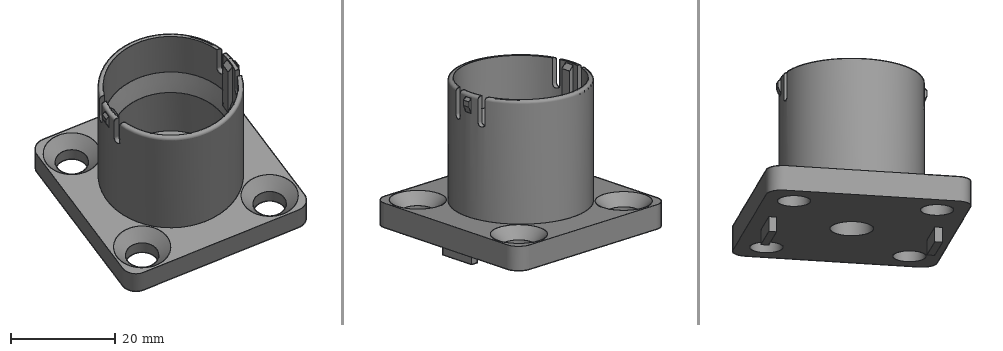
import cadquery as cq

flange_side = 40.0
flange_thickness = 5.0
flange_corner_radius = 3.0

hole_spacing = 28.0
hole_diameter = 6.4
countersink_diameter = 11.0
countersink_angle = 90.0

socket_radius = 14.0
socket_height = 25.0
rim_fillet = 0.6
rim_z = flange_thickness + socket_height

upper_bore_radius = 13.0
upper_bore_depth = 10.0
taper_height = 4.2
lower_bore_radius = 11.5
floor_z = flange_thickness
center_hole_diameter = 8.4

slot_width = 1.5
slot_depth = 6.0
slot_offset = 3.25

latch_width = 1.5
latch_projection = 0.6
latch_peak_depth = 1.3
latch_peak_height = 1.1
latch_bottom_depth = 3.75

rib_width = 2.15
rib_inner_y = 12.0
rib_top_depth = 0.3

tab_width = 8.0
tab_thickness = 1.5
tab_height = 3.0
tab_outer_y = 17.0

wall_overlap = 0.4


def make_flange():
    """Rounded square plate with a countersunk hole near each corner."""
    plate = (
        cq.Workplane("XY")
        .rect(flange_side, flange_side)
        .extrude(flange_thickness)
        .edges("|Z")
        .fillet(flange_corner_radius)
    )
    return (
        plate.faces(">Z")
        .workplane()
        .rect(hole_spacing, hole_spacing, forConstruction=True)
        .vertices()
        .cskHole(hole_diameter, countersink_diameter, countersink_angle)
    )


def make_socket():
    """Solid cylinder with a rounded outer rim."""
    cylinder = (
        cq.Workplane("XY")
        .workplane(offset=flange_thickness)
        .circle(socket_radius)
        .extrude(socket_height)
    )
    return cylinder.faces(">Z").edges().fillet(rim_fillet)


def make_bore():
    """Revolved cavity of the socket, from its rim down to the floor."""
    taper_top_z = rim_z - upper_bore_depth
    taper_bottom_z = taper_top_z - taper_height
    return (
        cq.Workplane("XZ")
        .moveTo(0, floor_z)
        .lineTo(lower_bore_radius, floor_z)
        .lineTo(lower_bore_radius, taper_bottom_z)
        .lineTo(upper_bore_radius, taper_top_z)
        .lineTo(upper_bore_radius, rim_z)
        .lineTo(0, rim_z)
        .close()
        .revolve(360, (0, 0, 0), (0, 1, 0))
    )


def make_slot(x):
    """Round-bottomed slot open at the rim, passing through both walls."""
    half_width = slot_width / 2
    bottom_z = rim_z - slot_depth
    return (
        cq.Workplane("XZ")
        .moveTo(x - half_width, rim_z)
        .lineTo(x - half_width, bottom_z + half_width)
        .threePointArc((x, bottom_z), (x + half_width, bottom_z + half_width))
        .lineTo(x + half_width, rim_z)
        .close()
        .extrude(socket_radius, both=True)
    )


def with_opposite(body):
    """The body together with its mirror image on the opposite Y side."""
    return body.union(body.mirror("XZ"))


def make_latches():
    """Bumps with a 45 degree lead-in on top and a longer slope below."""
    root_y = socket_radius - wall_overlap
    peak_y = socket_radius + latch_projection
    peak_top_z = rim_z - latch_peak_depth
    lead_in_z = peak_top_z + latch_projection
    bottom_z = rim_z - latch_bottom_depth
    latch = (
        cq.Workplane("YZ")
        .moveTo(root_y, bottom_z)
        .lineTo(socket_radius, bottom_z)
        .lineTo(peak_y, peak_top_z - latch_peak_height)
        .lineTo(peak_y, peak_top_z)
        .lineTo(socket_radius, lead_in_z)
        .lineTo(root_y, lead_in_z)
        .close()
        .extrude(latch_width / 2, both=True)
    )
    return with_opposite(latch)


def make_ribs():
    """Upright ribs on the bore wall, ending below in the bore taper."""
    root_y = upper_bore_radius + wall_overlap
    top_z = rim_z - rib_top_depth
    slope_height = upper_bore_radius - rib_inner_y
    bottom_z = rim_z - upper_bore_depth - taper_height
    rib = (
        cq.Workplane("YZ")
        .moveTo(rib_inner_y, bottom_z)
        .lineTo(root_y, bottom_z)
        .lineTo(root_y, top_z)
        .lineTo(upper_bore_radius, top_z)
        .lineTo(rib_inner_y, top_z - slope_height)
        .close()
        .extrude(rib_width / 2, both=True)
    )
    return with_opposite(rib)


def make_tabs():
    """Rectangular tabs hanging below the flange."""
    tab = (
        cq.Workplane("XY")
        .center(0, tab_outer_y - tab_thickness / 2)
        .rect(tab_width, tab_thickness)
        .extrude(-tab_height)
    )
    return with_opposite(tab)


body = make_flange().union(make_socket()).cut(make_bore())
for side in (-1, 1):
    body = body.cut(make_slot(side * slot_offset))
center_hole = cq.Workplane("XY").circle(center_hole_diameter / 2).extrude(floor_z)
result = body.cut(center_hole).union(make_latches()).union(make_ribs()).union(make_tabs())